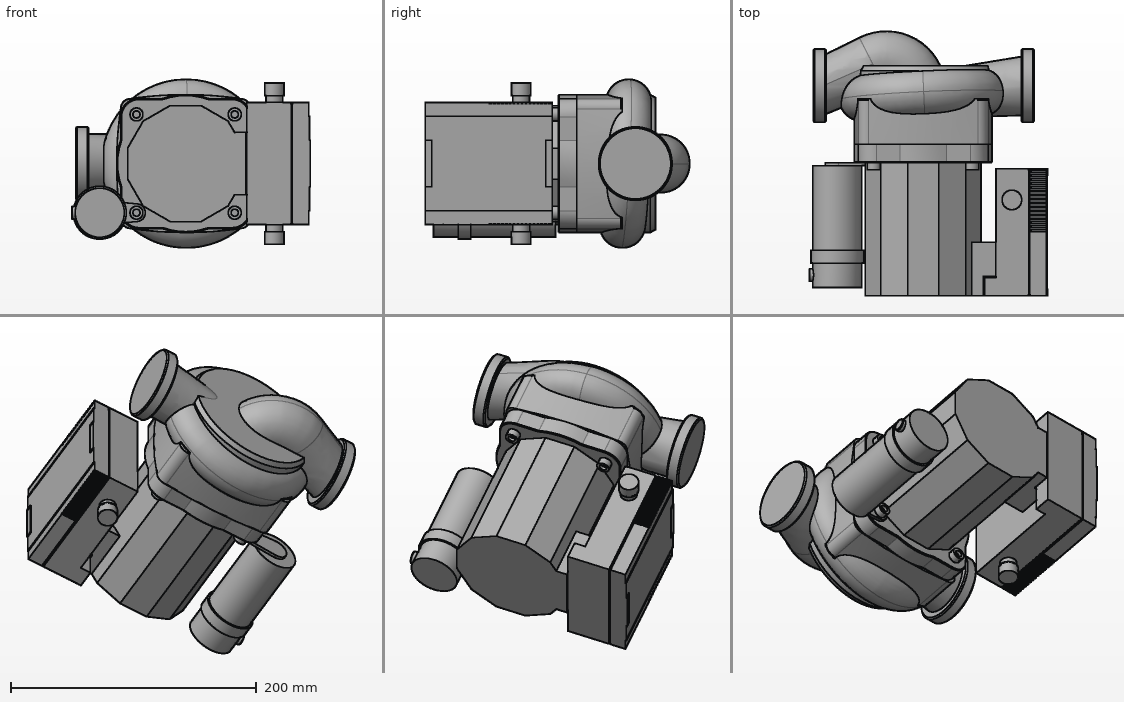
import cadquery as cq
import math


FLANGE_BACK_Y = -47.7
FLANGE_FRONT_Y = -62.6
MOTOR_END_Y = -171.2

CASING_RADIUS = 56.2
SQUARE_HALF = 52.9
POST_RADIUS = 8.3
POST_TOP_Y = -10.5
POST_CHAMFER = 1.5
FLANGE_CORNER_RADIUS = 14.6
FLANGE_CHAMFER = 0.8
BACK_DISC_Y = 16.4
BACK_DISC_BEVEL_DEPTH = 4.3
BACK_DISC_BEVEL_WIDTH = 2.4

VOLUTE_TUBE_RADIUS = 18.4
VOLUTE_RING_RADIUS = 50.4
VOLUTE_SHIFT_X = 0.4
VOLUTE_CENTER_Y = -8.0
VOLUTE_TILT_X = -2.9
VOLUTE_TILT_Z = 2.6

PORT_FACE_X = 90.0
PORT_SHIFT_X = 0.5
PORT_FLANGE_RADIUS = 30.0
PORT_FLANGE_THICKNESS = 10.5
PORT_FLANGE_CHAMFER = 1.2
PORT_NECK_RADIUS = 24.3
NECK_OVERLAP = 3.0

ELBOW_CENTER_X = -30.0
ELBOW_CENTER_Y = -4.1
ELBOW_BEND_RADIUS = 24.7
ELBOW_TUBE_RADIUS = 23.8
ELBOW_START_ANGLE = 117.0
DISCHARGE_INNER_X = 34.0
DISCHARGE_INNER_Y = -4.7
DISCHARGE_INNER_RADIUS = 20.9

MOTOR_SIDES = 12
MOTOR_APOTHEM = 47.2
BLOCK_HALF_HEIGHT = 25.5
BLOCK_BACK_Y = -127.3
BLOCK_FOOT_X = 49.0
FOOT_GAP = 1.0

SCREW_OFFSET = 40.0
SCREW_HEAD_RADIUS = 5.3
SCREW_HEAD_HEIGHT = 6.0
SOCKET_RADIUS = 2.9
SOCKET_DEPTH = 3.0

BOX_HALF_HEIGHT = 49.8
BOX_BACK_Y = -67.6
BOX_INNER_X = 59.2
BOX_FOOT_X = BLOCK_FOOT_X + FOOT_GAP
BOX_FOOT_Y = -156.3
BOX_COVER_JOINT_X = 87.0
JOINT_GROOVE = 1.1
COVER_FACE_X = 100.3
COVER_PANEL_X = 101.0
COVER_PANEL_HALF_HEIGHT = 38.6
COVER_RIDGE_X = 101.7
COVER_RIDGE_HALF_HEIGHT = 19.0
COVER_RIDGE_WIDTH = 5.5

SLOT_COUNT = 16
SLOT_PITCH = 3.23
SLOT_WIDTH = 1.4
SLOT_DEPTH = 1.0
SLOT_START_X = 88.0
FIRST_SLOT_Y = -69.7

GLAND_X = 72.3
GLAND_Y = -93.0
GLAND_NECK_RADIUS = 7.0
GLAND_NECK_LENGTH = 5.6
GLAND_HEAD_RADIUS = 8.0
GLAND_TOP_Z = 65.7

SEPARATOR_X = -69.9
SEPARATOR_Z = -SCREW_OFFSET
SEPARATOR_RADIUS = 20.0
SEPARATOR_END_Y = -164.5
COLLAR_RADIUS = 21.6
COLLAR_BACK_Y = -134.0
COLLAR_LENGTH = 10.4
KNOB_TIP_X = -92.9
KNOB_Y = -154.2
KNOB_RADIUS = 5.2
KNOB_CHAMFER = 0.6
BRACKET_THICKNESS = 2.4
BRACKET_BIG_RADIUS = 10.0
BRACKET_SMALL_RADIUS = 7.2


def cylinder_y(radius, y_back, y_front, x=0.0, z=0.0):
    """Cylinder along the motor axis direction, from y_back forward to y_front."""
    plane = cq.Workplane("XZ", origin=(x, y_back, z))
    return plane.circle(radius).extrude(y_back - y_front)


def block(x_min, x_max, y_min, y_max, half_height):
    """Box that is symmetric about Z = 0."""
    return (
        cq.Workplane("XY")
        .box(x_max - x_min, y_max - y_min, 2 * half_height)
        .translate(((x_min + x_max) / 2, (y_min + y_max) / 2, 0))
    )


def casing_body():
    """Square casing with four bowed sides and a round post at each corner."""
    length = POST_TOP_Y - FLANGE_BACK_Y
    post_center = SQUARE_HALF - POST_RADIUS
    plane = cq.Workplane("XZ", origin=(0, POST_TOP_Y, 0))
    body = (
        plane.moveTo(-post_center, SQUARE_HALF)
        .threePointArc((0, CASING_RADIUS), (post_center, SQUARE_HALF))
        .lineTo(SQUARE_HALF, post_center)
        .threePointArc((CASING_RADIUS, 0), (SQUARE_HALF, -post_center))
        .lineTo(post_center, -SQUARE_HALF)
        .threePointArc((0, -CASING_RADIUS), (-post_center, -SQUARE_HALF))
        .lineTo(-SQUARE_HALF, -post_center)
        .threePointArc((-CASING_RADIUS, 0), (-SQUARE_HALF, post_center))
        .close()
        .extrude(length)
    )
    posts = (
        plane.rect(2 * post_center, 2 * post_center, forConstruction=True)
        .vertices()
        .circle(POST_RADIUS)
        .extrude(length)
        .faces(">Y")
        .chamfer(POST_CHAMFER)
    )
    return body.union(posts)


def volute_ring():
    """Slightly tilted torus around the motor axis."""
    ring = cq.Solid.makeTorus(
        VOLUTE_RING_RADIUS, VOLUTE_TUBE_RADIUS, cq.Vector(0, 0, 0), cq.Vector(0, 1, 0)
    )
    return (
        cq.Workplane(ring)
        .rotate((0, 0, 0), (1, 0, 0), VOLUTE_TILT_X)
        .rotate((0, 0, 0), (0, 0, 1), VOLUTE_TILT_Z)
        .translate((VOLUTE_SHIFT_X, VOLUTE_CENTER_Y, 0))
    )


def back_disc():
    """Disc that closes the back of the casing, with a steep bevel on its rim."""
    bevel_y = BACK_DISC_Y - BACK_DISC_BEVEL_DEPTH
    face_radius = CASING_RADIUS - BACK_DISC_BEVEL_WIDTH
    return (
        cq.Workplane("XY")
        .moveTo(0, POST_TOP_Y)
        .lineTo(CASING_RADIUS, POST_TOP_Y)
        .lineTo(CASING_RADIUS, bevel_y)
        .lineTo(face_radius, BACK_DISC_Y)
        .lineTo(0, BACK_DISC_Y)
        .close()
        .revolve(360, (0, 0, 0), (0, 1, 0))
    )


def port_flange(side):
    """Round pipe flange; side is -1 for suction and +1 for discharge."""
    face_x = PORT_SHIFT_X + side * PORT_FACE_X
    return (
        cq.Workplane("YZ", origin=(face_x, 0, 0))
        .circle(PORT_FLANGE_RADIUS)
        .extrude(-side * PORT_FLANGE_THICKNESS)
        .faces("<X or >X")
        .chamfer(PORT_FLANGE_CHAMFER)
    )


def loft_between(plane_a, radius_a, plane_b, radius_b):
    """Straight-sided tube between two circles."""
    wires = []
    for plane, radius in ((plane_a, radius_a), (plane_b, radius_b)):
        wires.append(cq.Wire.makeCircle(radius, plane.origin, plane.zDir))
    return cq.Workplane(cq.Solid.makeLoft(wires, True))


def neck_plane(side):
    """Plane just inside a port flange, facing +X."""
    neck_x = PORT_SHIFT_X + side * (PORT_FACE_X - PORT_FLANGE_THICKNESS + NECK_OVERLAP)
    return cq.Plane(origin=(neck_x, 0, 0), xDir=(0, 1, 0), normal=(1, 0, 0))


def suction_elbow():
    """Tube that rises from the suction flange and bends down into the casing."""
    angle = math.radians(ELBOW_START_ANGLE)
    start = (
        ELBOW_CENTER_X + ELBOW_BEND_RADIUS * math.cos(angle),
        ELBOW_CENTER_Y + ELBOW_BEND_RADIUS * math.sin(angle),
        0,
    )
    direction = (math.sin(angle), -math.cos(angle), 0)
    bend_plane = cq.Plane(origin=start, xDir=(0, 0, 1), normal=direction)
    bend = (
        cq.Workplane("XZ", origin=(ELBOW_CENTER_X + ELBOW_BEND_RADIUS, ELBOW_CENTER_Y, 0))
        .circle(ELBOW_TUBE_RADIUS)
        .revolve(
            ELBOW_START_ANGLE, (-ELBOW_BEND_RADIUS, 0, 0), (-ELBOW_BEND_RADIUS, 1, 0)
        )
    )
    riser = loft_between(neck_plane(-1), PORT_NECK_RADIUS, bend_plane, ELBOW_TUBE_RADIUS)
    return riser.union(bend)


def discharge_cone():
    """Cone that widens from the volute to the discharge flange."""
    inner_plane = cq.Plane(
        origin=(DISCHARGE_INNER_X, DISCHARGE_INNER_Y, 0), xDir=(0, 1, 0), normal=(1, 0, 0)
    )
    return loft_between(inner_plane, DISCHARGE_INNER_RADIUS, neck_plane(1), PORT_NECK_RADIUS)


def make_housing():
    housing = casing_body().union(back_disc()).union(volute_ring())
    housing = housing.union(suction_elbow()).union(discharge_cone())
    for side in (-1, 1):
        housing = housing.union(port_flange(side))
    return housing


def motor_flange():
    """Rounded square with a round bulge through the middle of each side."""
    thickness = FLANGE_BACK_Y - FLANGE_FRONT_Y
    square = (
        cq.Workplane("XZ", origin=(0, FLANGE_BACK_Y, 0))
        .rect(2 * SQUARE_HALF, 2 * SQUARE_HALF)
        .extrude(thickness)
        .edges("|Y")
        .fillet(FLANGE_CORNER_RADIUS)
    )
    flange = square.union(cylinder_y(CASING_RADIUS, FLANGE_BACK_Y, FLANGE_FRONT_Y))
    return flange.faces("<Y").chamfer(FLANGE_CHAMFER)


def motor_barrel():
    """Twelve-sided prism with flats facing +X, -X, +Z and -Z."""
    half_step = math.pi / MOTOR_SIDES
    return (
        cq.Workplane("XZ", origin=(0, FLANGE_FRONT_Y, 0))
        .polygon(MOTOR_SIDES, 2 * MOTOR_APOTHEM / math.cos(half_step))
        .extrude(FLANGE_FRONT_Y - MOTOR_END_Y)
        .rotate((0, 0, 0), (0, 1, 0), math.degrees(half_step))
    )


def terminal_block():
    """Block that carries the control box, stepped back for the box foot."""
    wide = block(0, BOX_INNER_X, BOX_FOOT_Y + FOOT_GAP, BLOCK_BACK_Y, BLOCK_HALF_HEIGHT)
    narrow = block(0, BLOCK_FOOT_X, MOTOR_END_Y, BLOCK_BACK_Y, BLOCK_HALF_HEIGHT)
    return wide.union(narrow)


def make_motor():
    return motor_flange().union(motor_barrel()).union(terminal_block())


def make_screw(x, z, seat_y):
    """Socket screw head sitting on the plane y = seat_y."""
    front_y = seat_y - SCREW_HEAD_HEIGHT
    head = cylinder_y(SCREW_HEAD_RADIUS, seat_y, front_y, x, z)
    socket = cylinder_y(SOCKET_RADIUS, front_y + SOCKET_DEPTH, front_y, x, z)
    return head.cut(socket)


def bracket():
    """Tapered plate from under the separator to the lower left flange screw."""
    span = -SCREW_OFFSET - SEPARATOR_X
    lean = (BRACKET_BIG_RADIUS - BRACKET_SMALL_RADIUS) / span
    rise = math.sqrt(1 - lean**2)
    big_x, big_z = BRACKET_BIG_RADIUS * lean, BRACKET_BIG_RADIUS * rise
    small_x, small_z = span + BRACKET_SMALL_RADIUS * lean, BRACKET_SMALL_RADIUS * rise
    return (
        cq.Workplane("XZ", origin=(SEPARATOR_X, FLANGE_FRONT_Y, SEPARATOR_Z))
        .moveTo(big_x, big_z)
        .lineTo(small_x, small_z)
        .threePointArc((span + BRACKET_SMALL_RADIUS, 0), (small_x, -small_z))
        .lineTo(big_x, -big_z)
        .threePointArc((-BRACKET_BIG_RADIUS, 0), (big_x, big_z))
        .close()
        .extrude(BRACKET_THICKNESS)
    )


def make_separator():
    """Upright can with a collar, a side knob and its mounting bracket."""
    top_y = FLANGE_FRONT_Y - BRACKET_THICKNESS
    collar_front_y = COLLAR_BACK_Y - COLLAR_LENGTH
    can = cylinder_y(SEPARATOR_RADIUS, top_y, SEPARATOR_END_Y, SEPARATOR_X, SEPARATOR_Z)
    collar = cylinder_y(COLLAR_RADIUS, COLLAR_BACK_Y, collar_front_y, SEPARATOR_X, SEPARATOR_Z)
    knob = (
        cq.Workplane("YZ", origin=(KNOB_TIP_X, KNOB_Y, SEPARATOR_Z))
        .circle(KNOB_RADIUS)
        .extrude(SEPARATOR_X - KNOB_TIP_X)
        .faces("<X")
        .chamfer(KNOB_CHAMFER)
    )
    return can.union(collar).union(knob).union(bracket())


def gland(side):
    """Cable gland on the top (side = 1) or bottom (side = -1) of the box."""
    plane = cq.Workplane("XY", origin=(GLAND_X, GLAND_Y, side * BOX_HALF_HEIGHT))
    neck = plane.circle(GLAND_NECK_RADIUS).extrude(side * GLAND_NECK_LENGTH)
    head = (
        plane.workplane(offset=side * GLAND_NECK_LENGTH)
        .circle(GLAND_HEAD_RADIUS)
        .extrude(side * (GLAND_TOP_Z - BOX_HALF_HEIGHT - GLAND_NECK_LENGTH))
    )
    return neck.union(head)


def make_control_box():
    """Box with a foot toward the motor and a cable gland on two sides."""
    wall_x = BOX_COVER_JOINT_X - JOINT_GROOVE
    body = block(BOX_INNER_X, wall_x, MOTOR_END_Y, BOX_BACK_Y, BOX_HALF_HEIGHT)
    foot = block(BOX_FOOT_X, wall_x, MOTOR_END_Y, BOX_FOOT_Y, BOX_HALF_HEIGHT)
    rim = block(
        wall_x,
        BOX_COVER_JOINT_X,
        MOTOR_END_Y + JOINT_GROOVE,
        BOX_BACK_Y - JOINT_GROOVE,
        BOX_HALF_HEIGHT - JOINT_GROOVE,
    )
    box = body.union(foot).union(rim)
    for side in (-1, 1):
        box = box.union(gland(side))
    return box


def make_cover():
    """Cover with a raised face, two end ridges and cooling slots on two sides."""
    cover = block(BOX_COVER_JOINT_X, COVER_FACE_X, MOTOR_END_Y, BOX_BACK_Y, BOX_HALF_HEIGHT)
    panel = block(
        COVER_FACE_X, COVER_PANEL_X, MOTOR_END_Y, BOX_BACK_Y, COVER_PANEL_HALF_HEIGHT
    )
    cover = cover.union(panel)
    for ridge_y in (MOTOR_END_Y, BOX_BACK_Y - COVER_RIDGE_WIDTH):
        ridge = block(
            COVER_PANEL_X,
            COVER_RIDGE_X,
            ridge_y,
            ridge_y + COVER_RIDGE_WIDTH,
            COVER_RIDGE_HALF_HEIGHT,
        )
        cover = cover.union(ridge)
    for index in range(SLOT_COUNT):
        slot_y = FIRST_SLOT_Y - index * SLOT_PITCH
        slot = cq.Workplane("XY").box(COVER_FACE_X - SLOT_START_X, SLOT_WIDTH, SLOT_DEPTH)
        slot_x = (SLOT_START_X + COVER_FACE_X) / 2
        for side in (-1, 1):
            slot_z = side * (BOX_HALF_HEIGHT - SLOT_DEPTH / 2)
            cover = cover.cut(slot.translate((slot_x, slot_y, slot_z)))
    return cover


housing = make_housing()
motor = make_motor()
separator = make_separator()
control_box = make_control_box()
cover = make_cover()

screws = []
for screw_x in (-SCREW_OFFSET, SCREW_OFFSET):
    for screw_z in (-SCREW_OFFSET, SCREW_OFFSET):
        on_bracket = screw_x < 0 and screw_z < 0
        seat_y = FLANGE_FRONT_Y - BRACKET_THICKNESS if on_bracket else FLANGE_FRONT_Y
        screws.append(make_screw(screw_x, screw_z, seat_y).val())

result = cq.Compound.makeCompound(
    [
        housing.val(),
        motor.val(),
        separator.val(),
        control_box.val(),
        cover.val(),
        *screws,
    ]
)